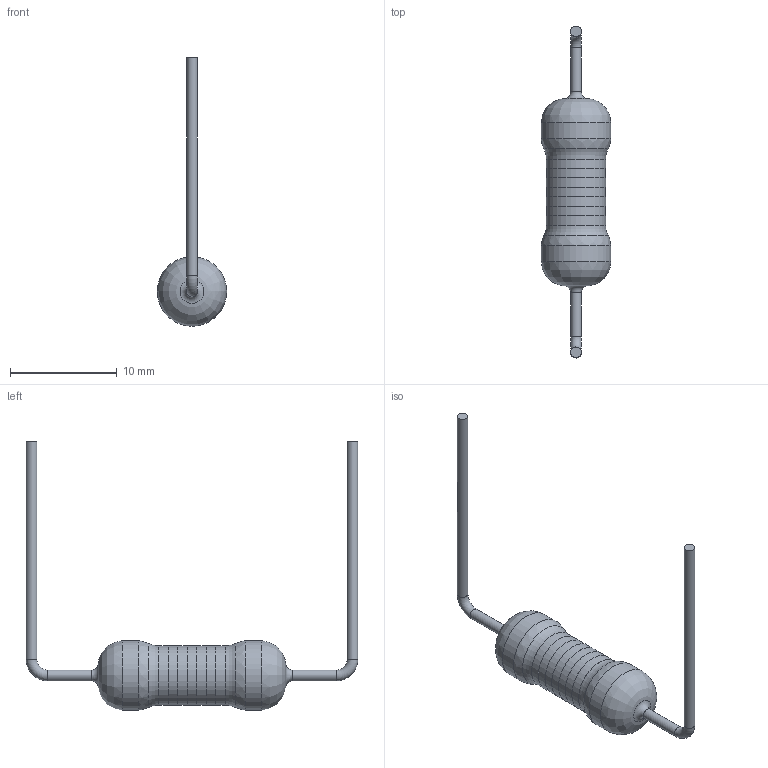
import cadquery as cq
import math


lead_diameter = 1.0
lead_pitch = 30.0
lead_top = 21.85
bend_radius = 1.5

body_length = 17.5
cap_diameter = 6.5
waist_diameter = 5.53
dome_radius = 2.25
cap_inner_edge = 5.0
waist_edge = 3.1
lead_fillet = 0.65

band_diameter = 5.54
band_count = 4
band_width = 2 * waist_edge / (2 * band_count - 1)

lead_radius = lead_diameter / 2
cap_radius = cap_diameter / 2
waist_radius = waist_diameter / 2
dome_centre_r = cap_radius - dome_radius
dome_centre_y = body_length / 2 - dome_radius


def flare_points():
    """Start, middle and end of the concave flare, tangent to the lead and the domed end."""
    centre_r = lead_radius + lead_fillet
    centre_distance = dome_radius + lead_fillet
    centre_y = dome_centre_y + math.sqrt(centre_distance**2 - (centre_r - dome_centre_r)**2)
    end_angle = math.atan2(dome_centre_y - centre_y, dome_centre_r - centre_r) % (2 * math.pi)
    middle_angle = (math.pi + end_angle) / 2

    def on_flare(angle):
        return (centre_r + lead_fillet * math.cos(angle), centre_y + lead_fillet * math.sin(angle))

    return on_flare(math.pi), on_flare(middle_angle), on_flare(end_angle)


def dome_middle(flare_end):
    """Point halfway along the dome between the flare and the bulge."""
    angle = math.atan2(flare_end[1] - dome_centre_y, flare_end[0] - dome_centre_r) / 2
    return (dome_centre_r + dome_radius * math.cos(angle), dome_centre_y + dome_radius * math.sin(angle))


def make_waist():
    """Straight cylinder between the two bulged ends."""
    return cq.Workplane("XZ", origin=(0, waist_edge, 0)).circle(waist_radius).extrude(2 * waist_edge)


def make_bulged_end():
    """Revolved +Y end of the body, from the waist out to the flare on the lead."""
    flare_start, flare_middle, flare_end = flare_points()
    neck_rise = (cap_radius - waist_radius) / 2
    neck_run = (cap_inner_edge - waist_edge) / 2
    neck_radius = (neck_rise**2 + neck_run**2) / (2 * neck_rise)
    neck_middle = (waist_radius + neck_rise, waist_edge + neck_run)
    return (
        cq.Workplane("XY")
        .moveTo(0, waist_edge)
        .lineTo(waist_radius, waist_edge)
        .radiusArc(neck_middle, neck_radius)
        .radiusArc((cap_radius, cap_inner_edge), -neck_radius)
        .lineTo(cap_radius, dome_centre_y)
        .threePointArc(dome_middle(flare_end), flare_end)
        .threePointArc(flare_middle, flare_start)
        .lineTo(0, flare_start[1])
        .close()
        .revolve(360, (0, 0, 0), (0, 1, 0))
    )


def make_band(centre_y):
    """Disc that leaves one colour band standing on the waist."""
    start_y = centre_y + band_width / 2
    return cq.Workplane("XZ", origin=(0, start_y, 0)).circle(band_diameter / 2).extrude(band_width)


def make_leads():
    """One wire through the body with both ends bent upward."""
    half_pitch = lead_pitch / 2
    path = (
        cq.Workplane("YZ")
        .moveTo(-half_pitch, lead_top)
        .lineTo(-half_pitch, bend_radius)
        .tangentArcPoint((bend_radius - half_pitch, 0), relative=False)
        .lineTo(half_pitch - bend_radius, 0)
        .tangentArcPoint((half_pitch, bend_radius), relative=False)
        .lineTo(half_pitch, lead_top)
    )
    return cq.Workplane("XY", origin=(0, -half_pitch, lead_top)).circle(lead_radius).sweep(path)


bulged_end = make_bulged_end()
body = make_waist().union(bulged_end).union(bulged_end.mirror("XZ"))
for index in range(band_count):
    band_offset = index - (band_count - 1) / 2
    body = body.union(make_band(2 * band_width * band_offset))

result = body.union(make_leads())